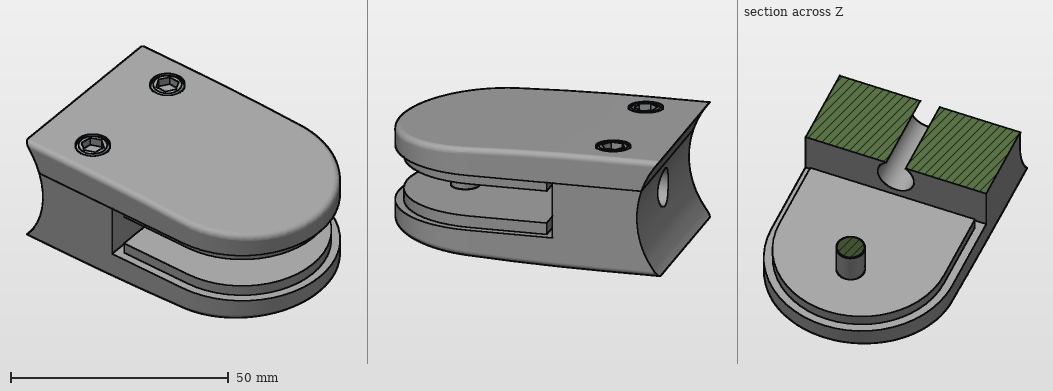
import cadquery as cq
import math

length = 68.3
width = 45.0
height = 28.0
nose_radius = width / 2
nose_x = length - nose_radius
edge_fillet = 1.35

crown_start_x = 13.25
crown_radius = 645.25

saddle_radius = 21.1
saddle_half_chord = height / 2
saddle_center_x = -math.sqrt(saddle_radius**2 - saddle_half_chord**2)

slot_start_x = 25.4
slot_height = 13.3
parting_z = slot_height / 2
pad_start_x = 27.3
pad_gap = 7.8
pad_radius = 20.5
pad_thickness = (slot_height - pad_gap) / 2

mounting_hole_radius = 4.5

pin_x = 52.4
pin_radius = 3.35
pin_chamfer = 0.2

screw_y = 14.0
groove_radius = 4.0
head_radius = 3.9
head_face_radius = 3.3
head_bevel_depth = 0.5
groove_depth = 0.7
socket_diameter = 5.4
socket_depth = 2.05
tool_overrun = 0.7
socket_angles = {screw_y: -4.0, -screw_y: 20.0}


def rounded_plate(start_x, radius, bottom_z, thickness):
    """Plate with a square end at start_x and a semicircular end about nose_x."""
    return (
        cq.Workplane("XY")
        .workplane(offset=bottom_z)
        .moveTo(start_x, -radius)
        .lineTo(nose_x, -radius)
        .threePointArc((nose_x + radius, 0), (nose_x, radius))
        .lineTo(start_x, radius)
        .close()
        .extrude(thickness)
    )


def crown_z(x):
    """Height of the crowned face at x."""
    run = x - crown_start_x
    return height / 2 - crown_radius + math.sqrt(crown_radius**2 - run**2)


def crowned_profile():
    """Side profile of the clamp, extruded across its width."""
    middle_x = (crown_start_x + length) / 2
    return (
        cq.Workplane("XZ")
        .moveTo(0, -height / 2)
        .lineTo(crown_start_x, -height / 2)
        .threePointArc((middle_x, -crown_z(middle_x)), (length, -crown_z(length)))
        .lineTo(length, crown_z(length))
        .threePointArc((middle_x, crown_z(middle_x)), (crown_start_x, height / 2))
        .lineTo(0, height / 2)
        .close()
        .extrude(width / 2, both=True)
    )


def clamp_blank():
    """Outer shape of base and cover together, with the outer rims rounded."""
    plate = rounded_plate(0, nose_radius, -height / 2, height)
    blank = plate.intersect(crowned_profile())
    rims = blank.faces(">Z or <Z").edges("|X")
    blank = rims.fillet(edge_fillet)
    saddle = (
        cq.Workplane("XZ")
        .center(saddle_center_x, 0)
        .circle(saddle_radius)
        .extrude(width, both=True)
    )
    return blank.cut(saddle)


def base_body(blank):
    """Lower jaw and saddle block with the mounting hole and lower pad."""
    below_parting = cq.Workplane("XY").box(
        length, width, height / 2 + parting_z, centered=(False, True, False)
    ).translate((0, 0, -height / 2))
    slot = cq.Workplane("XY").box(
        length, width, slot_height, centered=(False, True, True)
    ).translate((slot_start_x, 0, 0))
    hole = cq.Workplane("YZ").circle(mounting_hole_radius).extrude(slot_start_x)
    pad = rounded_plate(pad_start_x, pad_radius, -parting_z, pad_thickness)
    return blank.intersect(below_parting).cut(slot).cut(hole).union(pad)


def screw_recess(y):
    """Round recess in the cover that surrounds a screw head."""
    return (
        cq.Workplane("XY", origin=(crown_start_x, y, height / 2 - groove_depth))
        .circle(groove_radius)
        .extrude(groove_depth + tool_overrun)
    )


def screw_head(y):
    """Bevelled head that rises from the recess floor to the flat face."""
    bevel = head_radius - head_face_radius
    return (
        cq.Workplane("XY", origin=(crown_start_x, y, height / 2 - groove_depth))
        .circle(head_radius)
        .extrude(groove_depth)
        .faces(">Z")
        .chamfer(head_bevel_depth, bevel)
    )


def screw_socket(y, angle):
    """Hexagonal socket cut in a screw head."""
    return (
        cq.Workplane("XY")
        .polygon(6, socket_diameter)
        .extrude(socket_depth + tool_overrun)
        .rotate((0, 0, 0), (0, 0, 1), angle)
        .translate((crown_start_x, y, height / 2 - socket_depth))
    )


def cover_body(blank):
    """Upper jaw with its pad and the two screw heads."""
    above_parting = cq.Workplane("XY").box(
        length, width, height / 2 - parting_z, centered=(False, True, False)
    ).translate((0, 0, parting_z))
    pad = rounded_plate(pad_start_x, pad_radius, pad_gap / 2, pad_thickness)
    cover = blank.intersect(above_parting).union(pad)
    for y, angle in socket_angles.items():
        cover = cover.cut(screw_recess(y)).union(screw_head(y)).cut(screw_socket(y, angle))
    return cover


def pin_body():
    """Cross pin between the pads, chamfered at both ends."""
    return (
        cq.Workplane("XY")
        .workplane(offset=-pad_gap / 2)
        .center(pin_x, 0)
        .circle(pin_radius)
        .extrude(pad_gap)
        .faces(">Z or <Z")
        .edges()
        .chamfer(pin_chamfer)
    )


clamp = clamp_blank()
base = base_body(clamp)
cover = cover_body(clamp)
pin = pin_body()

result = cq.Compound.makeCompound([base.val(), cover.val(), pin.val()])